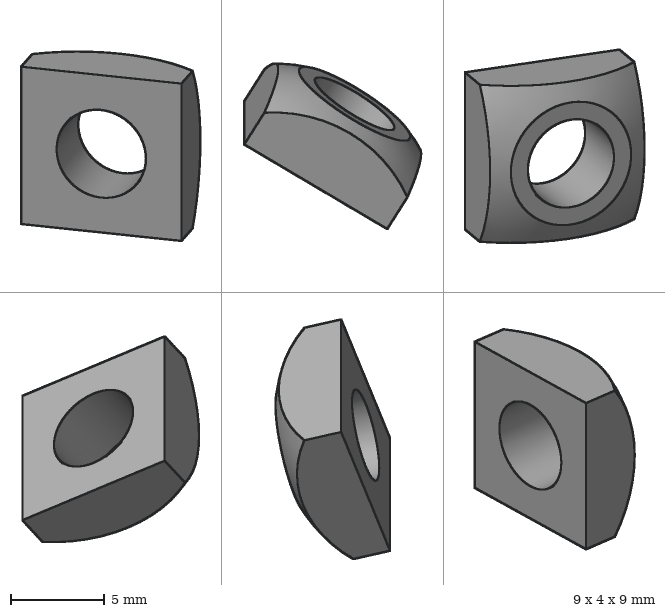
import cadquery as cq
import math

side = 9.0
thickness = 4.0
bore_diameter = 5.0
crown_flat_diameter = 7.0
crown_radius = 9.0

sphere_center_y = thickness - math.sqrt(crown_radius**2 - (crown_flat_diameter / 2) ** 2)

block = cq.Workplane("XY").box(side, thickness, side, centered=(True, False, True))
crown_sphere = cq.Workplane("XY").sphere(crown_radius).translate((0, sphere_center_y, 0))
bore = cq.Workplane("XZ").circle(bore_diameter / 2).extrude(-thickness)

result = block.intersect(crown_sphere).cut(bore)